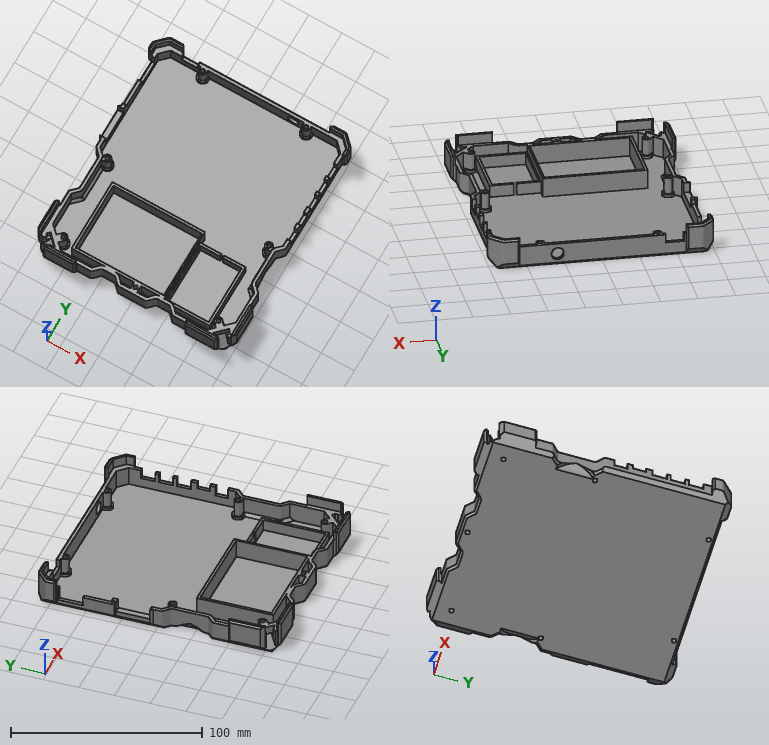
import cadquery as cq
import math

LENGTH_X = 120.0
LENGTH_Y = 135.0
HEIGHT = 17.5
RIM_Z = 12.0
FLOOR_T = 1.5
WALL_T = 2.0
BUMPER_T = 2.75
EDGE_CHAMFER = 1.0
LIP_GAP = 0.5

HALF_X = LENGTH_X / 2
HALF_Y = LENGTH_Y / 2
WALL_X = HALF_X - BUMPER_T
WALL_Y = HALF_Y - BUMPER_T
INNER_X = WALL_X - WALL_T
INNER_Y = WALL_Y - WALL_T

CORNER_CUT = 5.0
FRONT_CORNER_CUT = 8.5
SIDE_CHAMFER = 5.0
END_CHAMFER = 4.0
FOOT_CHAMFER = END_CHAMFER - BUMPER_T

RECESS_DEPTH = 4.0
SIDE_RECESS_Y = -17.25
SIDE_RECESS_HALF = 10.25
FRONT_NOTCH_X = 16.5
FRONT_NOTCH_HALF = 4.0
RECESS_FILLET = 1.5
SCOOP_Z = 5.0
SCOOP_REACH = 4.0
SCOOP_SAG = 0.9
COVE = 1.65

BUMPER_REAR_X = 44.5
BUMPER_REAR_Y = 55.5
BUMPER_FRONT_X = 33.25
BUMPER_FRONT_Y = -41.0

POST_D = 4.4
POST_BASE_D = 6.6
POST_BASE_H = 1.5
POST_BASE_Z = FLOOR_T + POST_BASE_H
SCREW_D = 2.4
REAR_POSTS_X = (-30.0, 32.5)
REAR_POST_Y = 61.25
MID_POST = (48.8, -5.9)
FRONT_POST_SPAN = 102.2
CORNER_AXIS_SHIFT = 8.5
CENTRE_POST_Y = -60.75

BLOCK_INNER = 106.8
BLOCK_BACK = 110.3
CHAMBER_END = 114.2
SLOT_W = 5.0
GROOVE_W = 7.5
CHAMBER_W = 8.5
RAMP_TOP_Z = 7.5

TRAY_WALL = 1.5
TRAY_X0 = -39.9
TRAY_Y0 = -INNER_Y + RECESS_DEPTH
TRAY_Y1 = -16.0
DIVIDER_T = 1.0
DIVIDER_X = 16.0
SMALL_X1 = 43.5
SMALL_Y1 = -21.0
SMALL_Z = 8.0
SMALL_GAP_X = (29.0, 30.5)

BULGE_T = 1.5
BULGE_Y = (3.3, 22.1)
LEFT_CUTS = ((41.1, 54.9, 4.5), (24.9, 41.1, 9.5), (BULGE_Y[0], BULGE_Y[1], 6.5))
RIGHT_CUTS = ((43.0, 51.0, 7.0), (33.0, 41.0, 7.0), (23.0, 31.0, 7.0), (12.4, 19.5, 8.5), (2.3, 9.4, 6.5))
REAR_CUT_X = (-43.5, -33.8)
REAR_CUT_Z = 7.5
REAR_HOLE_X = 23.9
REAR_HOLE_Z = 6.3
REAR_HOLE_D = 6.6

BEVEL_ANGLE = 45.0
ROOT2 = math.sqrt(2.0)
MARGIN = 5.0


def box(x0, x1, y0, y1, z0, z1):
    return cq.Workplane("XY").box(x1 - x0, y1 - y0, z1 - z0, centered=False).translate((x0, y0, z0))


def prism(points, z0, z1):
    return cq.Workplane("XY").workplane(offset=z0).polyline(points).close().extrude(z1 - z0)


def both_sides(solid):
    return solid.union(solid.mirror("YZ"))


def wall_outline():
    """Corner points of the wall: the right half and its mirror image."""
    y0 = SIDE_RECESS_Y - SIDE_RECESS_HALF
    y1 = SIDE_RECESS_Y + SIDE_RECESS_HALF
    d = RECESS_DEPTH
    x0 = FRONT_NOTCH_X - FRONT_NOTCH_HALF
    x1 = FRONT_NOTCH_X + FRONT_NOTCH_HALF
    half = [
        (x0 - d, -WALL_Y), (x0, -WALL_Y + d), (x1, -WALL_Y + d), (x1 + d, -WALL_Y),
        (WALL_X - CORNER_CUT, -WALL_Y), (WALL_X, -WALL_Y + CORNER_CUT),
        (WALL_X, y0 - d), (WALL_X - d, y0), (WALL_X - d, y1), (WALL_X, y1 + d),
        (WALL_X, WALL_Y - CORNER_CUT), (WALL_X - CORNER_CUT, WALL_Y),
    ]
    return half + [(-x, y) for x, y in reversed(half)]


def is_recess_corner(x, y):
    side_reach = SIDE_RECESS_HALF + RECESS_DEPTH + MARGIN
    front_reach = FRONT_NOTCH_X + FRONT_NOTCH_HALF + RECESS_DEPTH + MARGIN
    return abs(y - SIDE_RECESS_Y) < side_reach or (abs(x) < front_reach and y < 0)


def wall_wire():
    """Wall outline with rounded recess corners."""
    wire = cq.Workplane("XY").polyline(wall_outline()).close().wires().val()
    corners = [v for v in wire.Vertices() if is_recess_corner(v.X, v.Y)]
    return wire.fillet2D(RECESS_FILLET, corners)


def extrude_wire(wire, z0, z1, taper=0):
    lifted = wire.translate(cq.Vector(0, 0, z0))
    return cq.Workplane("XY").add(lifted).toPending().extrude(z1 - z0, taper=taper)


def envelope_wire():
    """Outer outline of the bumpers, square at the front and rounded at the 45 degree rear corners."""
    rear = CORNER_CUT
    base = [(-WALL_X, -WALL_Y), (WALL_X, -WALL_Y), (WALL_X, WALL_Y - rear), (WALL_X - rear, WALL_Y),
            (-WALL_X + rear, WALL_Y), (-WALL_X, WALL_Y - rear)]
    return cq.Workplane("XY").polyline(base).close().offset2D(BUMPER_T, "arc").wires().val()


def bumpers(wire):
    """Four corner bumpers whose thin lips rise above the rim."""
    env = extrude_wire(envelope_wire(), 0, HEIGHT - EDGE_CHAMFER)
    env = env.union(extrude_wire(envelope_wire(), HEIGHT - EDGE_CHAMFER, HEIGHT, BEVEL_ANGLE))
    c = EDGE_CHAMFER
    far = MARGIN
    rear = [(BUMPER_REAR_X, INNER_Y), (BUMPER_REAR_X, HALF_Y - c),
            (BUMPER_REAR_X + c + far, HALF_Y + far), (HALF_X + far, HALF_Y + far),
            (HALF_X + far, BUMPER_REAR_Y + c + far), (HALF_X - c, BUMPER_REAR_Y),
            (INNER_X, BUMPER_REAR_Y), (INNER_X, INNER_Y - CORNER_CUT), (INNER_X - CORNER_CUT, INNER_Y)]
    cut = FRONT_CORNER_CUT
    front = [(BUMPER_FRONT_X, -INNER_Y), (BUMPER_FRONT_X, -HALF_Y + c), (BUMPER_FRONT_X + c, -HALF_Y),
             (HALF_X - cut, -HALF_Y), (HALF_X, -HALF_Y + cut), (HALF_X, BUMPER_FRONT_Y - c),
             (HALF_X - c, BUMPER_FRONT_Y), (INNER_X, BUMPER_FRONT_Y),
             (INNER_X, INNER_X - BLOCK_INNER), (BLOCK_INNER - INNER_Y, -INNER_Y)]
    region = prism(rear, 0, HEIGHT).union(prism(front, 0, HEIGHT))
    solid = env.intersect(both_sides(region))
    return solid.cut(extrude_wire(wire.offset2D(LIP_GAP, "intersection")[0], RIM_Z, HEIGHT))


def underside_chamfers():
    """Wedges that bevel the underside along the four sides."""
    side = [(HALF_X - SIDE_CHAMFER, 0), (HALF_X + MARGIN, SIDE_CHAMFER + MARGIN), (HALF_X + MARGIN, 0)]
    end = [(HALF_Y - END_CHAMFER, 0), (HALF_Y + MARGIN, END_CHAMFER + MARGIN), (HALF_Y + MARGIN, 0)]
    sides = both_sides(cq.Workplane("XZ").polyline(side).close().extrude(HALF_Y, both=True))
    ends = cq.Workplane("YZ").polyline(end).close().extrude(HALF_X, both=True)
    return sides.union(ends).union(ends.mirror("XZ"))


def scoop():
    """Finger scoop under the right side recess: a peaked profile limited by a rounded inner face."""
    y0 = SIDE_RECESS_Y - SIDE_RECESS_HALF
    y1 = SIDE_RECESS_Y + SIDE_RECESS_HALF
    face = WALL_X - RECESS_DEPTH
    peak = [(y0, 0), (SIDE_RECESS_Y, SCOOP_Z), (y1, 0)]
    chord = math.hypot(SCOOP_REACH, SCOOP_Z)
    bulge = (face - SCOOP_REACH / 2 + SCOOP_SAG * SCOOP_Z / chord,
             SCOOP_Z / 2 - SCOOP_SAG * SCOOP_REACH / chord)
    side = cq.Workplane("XZ").moveTo(face - SCOOP_REACH, 0).threePointArc(bulge, (face, SCOOP_Z))
    side = side.lineTo(HALF_X, SCOOP_Z).lineTo(HALF_X, 0).close().extrude(HALF_Y, both=True)
    roof = cq.Workplane("YZ").polyline(peak).close().extrude(HALF_X)
    return roof.intersect(side)


def cove_strip(start, end):
    """Triangular strip on the floor, to the left of the line from start to end."""
    along = cq.Vector(end[0] - start[0], end[1] - start[1], 0)
    inward = cq.Vector(-along.y, along.x, 0)
    plane = cq.Plane(origin=(start[0], start[1], FLOOR_T), xDir=inward, normal=along)
    return cq.Workplane(plane).polyline([(0, 0), (COVE, 0), (0, COVE)]).close().extrude(along.Length)


def cove():
    """Strip along the right side recess and round its front corner."""
    shift = WALL_T * math.tan(math.radians(BEVEL_ANGLE / 2))
    x = INNER_X - RECESS_DEPTH
    y0 = SIDE_RECESS_Y - SIDE_RECESS_HALF - shift
    y1 = MID_POST[1] - POST_D / 2
    run = RECESS_DEPTH + COVE / ROOT2
    corner = cq.Solid.makeCone(COVE, 0, COVE, cq.Vector(x, y0, FLOOR_T))
    straight = cove_strip((x, y0), (x, y1))
    slanted = cove_strip((x + run, y0 - run), (x, y0))
    return straight.union(slanted).union(cq.Workplane(corner))


def corner_frame():
    """Plane whose X axis runs out along the front right corner axis; x = (|x| + |y|) / sqrt(2)."""
    shift = -CORNER_AXIS_SHIFT / 2
    return cq.Plane(origin=(shift, shift, 0), xDir=(1, -1, 0), normal=(0, 0, 1))


def corner_box(span0, span1, width, z0, z1):
    length = (span1 - span0) / ROOT2
    frame = cq.Workplane(corner_frame()).workplane(offset=z0).center((span0 + span1) / 2 / ROOT2, 0)
    return frame.rect(length, width).extrude(z1 - z0)


def ramped_cut(width):
    """Cut outward from the back of the slot, with a 45 degree bottom falling to the underside."""
    back = BLOCK_BACK / ROOT2
    out = back + RAMP_TOP_Z
    frame = corner_frame()
    side = cq.Plane(origin=frame.origin, xDir=frame.xDir, normal=-frame.yDir)
    profile = [(back, RAMP_TOP_Z), (back, HEIGHT), (out, HEIGHT), (out, 0)]
    return cq.Workplane(side).polyline(profile).close().extrude(width / 2, both=True)


def corner_slot():
    """Slot through the front right corner, wider in the bumper and in the chamber behind the wall."""
    wall_face = WALL_X + WALL_Y - CORNER_CUT
    groove = corner_box(wall_face, HALF_X + HALF_Y, GROOVE_W, 0, HEIGHT).intersect(ramped_cut(GROOVE_W))
    chamber = corner_box(BLOCK_BACK, CHAMBER_END, CHAMBER_W, RAMP_TOP_Z, RIM_Z)
    chamber = chamber.intersect(box(0, INNER_X, -INNER_Y, 0, 0, RIM_Z))
    return ramped_cut(SLOT_W).union(groove).union(chamber)


def cylinder(x, y, diameter, z0, z1):
    return cq.Workplane("XY").workplane(offset=z0).center(x, y).circle(diameter / 2).extrude(z1 - z0)


def front_post_place():
    x = (FRONT_POST_SPAN - CORNER_AXIS_SHIFT) / 2
    return x, x - FRONT_POST_SPAN


def post_places():
    x, y = front_post_place()
    places = [(px, REAR_POST_Y) for px in REAR_POSTS_X]
    return places + [MID_POST, (-MID_POST[0], MID_POST[1]), (x, y), (-x, y)]


def posts():
    """Screw posts with wider bases, and the webs that tie them to the walls."""
    r = POST_D / 2
    base_r = POST_BASE_D / 2
    solid = both_sides(corner_box(FRONT_POST_SPAN, BLOCK_INNER, POST_D, FLOOR_T, RIM_Z))
    web = box(MID_POST[0], INNER_X - RECESS_DEPTH, MID_POST[1] - r, MID_POST[1], FLOOR_T, RIM_Z)
    solid = solid.union(both_sides(web))
    for x in REAR_POSTS_X:
        solid = solid.union(box(x - r, x + r, REAR_POST_Y, INNER_Y, FLOOR_T, RIM_Z))
        solid = solid.union(box(x - base_r, x + base_r, REAR_POST_Y, INNER_Y, FLOOR_T, POST_BASE_Z))
    for x, y in post_places():
        solid = solid.union(cylinder(x, y, POST_D, FLOOR_T, RIM_Z))
        solid = solid.union(cylinder(x, y, POST_BASE_D, FLOOR_T, POST_BASE_Z))
    solid = solid.union(box(-r, r, -INNER_Y, TRAY_Y0, FLOOR_T, RIM_Z))
    return solid.union(box(-base_r, base_r, -INNER_Y, TRAY_Y0, FLOOR_T, POST_BASE_Z))


def screw_holes():
    holes = cylinder(0, CENTRE_POST_Y, SCREW_D, 0, RIM_Z)
    for x, y in post_places():
        holes = holes.union(cylinder(x, y, SCREW_D, 0, RIM_Z))
    return holes


def tray(x0, x1, y1, left_t, right_t, top):
    """Rectangular fence standing on the floor along the front wall."""
    outer = box(x0, x1, TRAY_Y0, y1, FLOOR_T, top)
    return outer.cut(box(x0 + left_t, x1 - right_t, TRAY_Y0 + TRAY_WALL, y1 - TRAY_WALL, FLOOR_T, top))


def trays():
    """Large tray as tall as the rim and a lower one beside it with a gap in its rear wall."""
    large = tray(TRAY_X0, DIVIDER_X, TRAY_Y1, TRAY_WALL, DIVIDER_T, RIM_Z)
    small = tray(DIVIDER_X, SMALL_X1, SMALL_Y1, DIVIDER_T, TRAY_WALL, SMALL_Z)
    x0, x1 = SMALL_GAP_X
    return large.union(small.cut(box(x0, x1, SMALL_Y1 - TRAY_WALL, SMALL_Y1, FLOOR_T, SMALL_Z)))


def left_bulge():
    y0, y1 = BULGE_Y
    t = BULGE_T
    pts = [(-WALL_X + WALL_T / 2, y0 - t), (-WALL_X, y0 - t), (-WALL_X - t, y0),
           (-WALL_X - t, y1), (-WALL_X, y1 + t), (-WALL_X + WALL_T / 2, y1 + t)]
    return prism(pts, 0, RIM_Z)


def wall_openings():
    """Connector cut-outs in the left, right and rear walls."""
    x0, x1 = REAR_CUT_X
    cuts = box(x0, x1, INNER_Y, WALL_Y, REAR_CUT_Z, RIM_Z)
    for y0, y1, z in LEFT_CUTS:
        cuts = cuts.union(box(-HALF_X, -INNER_X, y0, y1, z, RIM_Z))
    for y0, y1, z in RIGHT_CUTS:
        cuts = cuts.union(box(INNER_X, HALF_X, y0, y1, z, RIM_Z))
    hole = cq.Workplane("XZ", origin=(REAR_HOLE_X, WALL_Y, REAR_HOLE_Z)).circle(REAR_HOLE_D / 2)
    return cuts.union(hole.extrude(WALL_T))


wall = wall_wire()
shell = extrude_wire(wall, FOOT_CHAMFER, RIM_Z).union(extrude_wire(wall, FOOT_CHAMFER, 0, BEVEL_ANGLE))
cavity = extrude_wire(wall.offset2D(-WALL_T, "intersection")[0], FLOOR_T, RIM_Z)

body = shell.cut(cavity).union(bumpers(wall)).union(left_bulge())
body = body.cut(underside_chamfers()).cut(both_sides(scoop()))
body = body.union(both_sides(cove())).union(posts()).union(trays())
result = body.cut(both_sides(corner_slot())).cut(wall_openings()).cut(screw_holes())